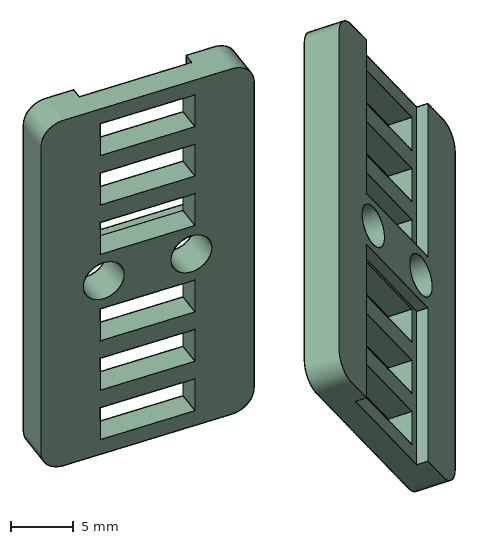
import cadquery as cq

thickness = 3.2
width = 19.0
height = 35.0
corner_radius = 2.0

channel_width = 10.0
channel_depth = 1.0
bridge_height = 5.0

window_width = 8.45
window_height = 3.22
window_pitch = 5.0
windows_per_side = 3
first_window_z = 4.38

hole_diameter = 3.65
hole_spacing = 7.8

front_x = -thickness / 2


def make_plate():
    plate = cq.Workplane("XY").box(thickness, width, height)
    return plate.edges("|X").fillet(corner_radius)


def make_channel(side):
    """Channel cutter from the bridge to the plate end; side is +1 (top) or -1 (bottom)."""
    length = (height - bridge_height) / 2
    center_z = side * (bridge_height + length) / 2
    center_x = front_x + channel_depth / 2
    return cq.Workplane("XY").box(channel_depth, channel_width, length).translate((center_x, 0, center_z))


def make_windows(side):
    """Row of through-window cutters on one side of the bridge."""
    centers = [(0, side * (first_window_z + i * window_pitch)) for i in range(windows_per_side)]
    return (
        cq.Workplane("YZ", origin=(front_x, 0, 0))
        .pushPoints(centers)
        .rect(window_width, window_height)
        .extrude(thickness)
    )


def make_holes():
    centers = [(-hole_spacing / 2, 0), (hole_spacing / 2, 0)]
    return (
        cq.Workplane("YZ", origin=(front_x, 0, 0))
        .pushPoints(centers)
        .circle(hole_diameter / 2)
        .extrude(thickness)
    )


result = make_plate().cut(make_holes())
for side in (1, -1):
    result = result.cut(make_channel(side)).cut(make_windows(side))